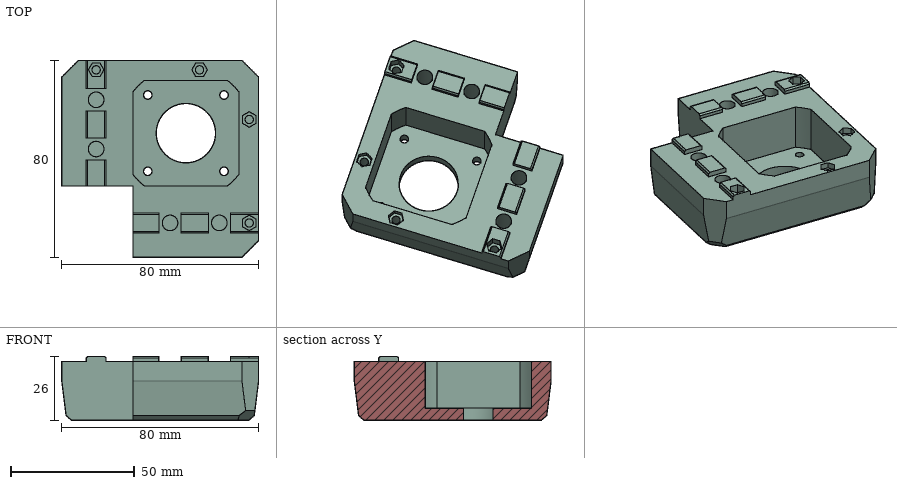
import cadquery as cq
import math


side = 80.0
half_side = side / 2
body_height = 24.0
notch_side = 29.0
corner_cut = 6.8

upright_height = 8.0
taper_start = body_height - upright_height
taper_inset = 2.0
bevel_height = 2.0
bevel_inset = 4.0
corner_bevel = 4.0

pocket_side = 43.0
pocket_trim_diameter = 54.6
pocket_floor = 5.0
pocket_centre = notch_side - half_side + pocket_side / 2
shaft_hole_diameter = 24.0
motor_screw_diameter = 3.4
motor_screw_pitch = 31.0

rail_offset = 14.0
rail_line = rail_offset - half_side
rail_width = 8.2
rail_height = 2.0
rail_chamfer = 0.6
rail_gap = 9.0

mount_hole_diameter = 6.3
mount_hole_depth = 16.0
mount_hole_places = (4.0, 24.0)

nut_corner_diameter = 6.3
nut_depth = 2.4
nut_screw_diameter = 3.4
nut_screw_depth = 12.0
nut_wall_offset = 3.8
nut_line = half_side - nut_wall_offset
nut_places = (rail_line, 16.0)


def with_twin(shape):
    """Add the mirror image of a shape across the plane X = Y."""
    return shape.union(shape.mirror(cq.Vector(1, -1, 0)))


def slab(right_wall, angle):
    """Long prism with two mirrored walls, turned by an angle about Z."""
    left_wall = [(-x, z) for x, z in reversed(right_wall)]
    prism = cq.Workplane("XZ").polyline(right_wall + left_wall).close().extrude(side, both=True)
    return prism.rotate((0, 0, 0), (0, 0, 1), angle)


def make_body():
    bevel_top_inset = taper_inset * (1 - bevel_height / taper_start)
    outer_wall = [
        (half_side - bevel_inset, 0),
        (half_side - bevel_top_inset, bevel_height),
        (half_side, taper_start),
        (half_side, body_height),
    ]
    corner_reach = (side - corner_cut) / math.sqrt(2)
    corner_wall = [
        (corner_reach - corner_bevel, 0),
        (corner_reach, corner_bevel),
        (corner_reach, body_height),
    ]
    body = slab(outer_wall, 0).intersect(slab(outer_wall, 90))
    body = body.intersect(slab(corner_wall, 45)).intersect(slab(corner_wall, -45))
    notch = cq.Workplane("XY").box(notch_side, notch_side, body_height, centered=False)
    return body.cut(notch.translate((-half_side, -half_side, 0)))


def make_rail():
    """Rail of the arm that runs along Y."""
    length = side - notch_side
    rail = (
        cq.Workplane("XY", origin=(rail_line, half_side - length / 2, body_height))
        .box(rail_width, length, rail_height, centered=(True, True, False))
        .edges("|Y and >Z")
        .chamfer(rail_chamfer)
    )
    gaps = (
        cq.Workplane("XY", origin=(0, 0, body_height))
        .pushPoints([(rail_line, y) for y in mount_hole_places])
        .box(rail_width, rail_gap, rail_height, centered=(True, True, False))
    )
    return rail.cut(gaps)


def make_mount_holes():
    """Mounting holes of the arm that runs along Y."""
    return (
        cq.Workplane("XY", origin=(0, 0, body_height))
        .pushPoints([(rail_line, y) for y in mount_hole_places])
        .circle(mount_hole_diameter / 2)
        .extrude(-mount_hole_depth)
    )


def make_nut_traps():
    """Nut traps and their screw holes along the +Y wall."""
    centres = [(x, nut_line) for x in nut_places]
    nuts = (
        cq.Workplane("XY", origin=(0, 0, body_height - nut_depth))
        .pushPoints(centres)
        .polygon(6, nut_corner_diameter)
        .extrude(nut_depth + rail_height)
    )
    screws = (
        cq.Workplane("XY", origin=(0, 0, body_height - nut_screw_depth))
        .pushPoints(centres)
        .circle(nut_screw_diameter / 2)
        .extrude(nut_screw_depth)
    )
    return nuts.union(screws)


def make_motor_opening():
    """Pocket, shaft hole and four screw holes for the motor."""
    base = cq.Workplane("XY", origin=(pocket_centre, pocket_centre, 0))
    trim = base.circle(pocket_trim_diameter / 2).extrude(body_height)
    pocket = base.workplane(offset=pocket_floor).rect(pocket_side, pocket_side)
    pocket = pocket.extrude(body_height - pocket_floor).intersect(trim)
    shaft_hole = base.circle(shaft_hole_diameter / 2).extrude(body_height)
    screw_holes = (
        base.rect(motor_screw_pitch, motor_screw_pitch, forConstruction=True)
        .vertices()
        .circle(motor_screw_diameter / 2)
        .extrude(body_height)
    )
    return pocket.union(shaft_hole).union(screw_holes)


result = (
    make_body()
    .union(with_twin(make_rail()))
    .cut(with_twin(make_mount_holes()))
    .cut(with_twin(make_nut_traps()))
    .cut(make_motor_opening())
)